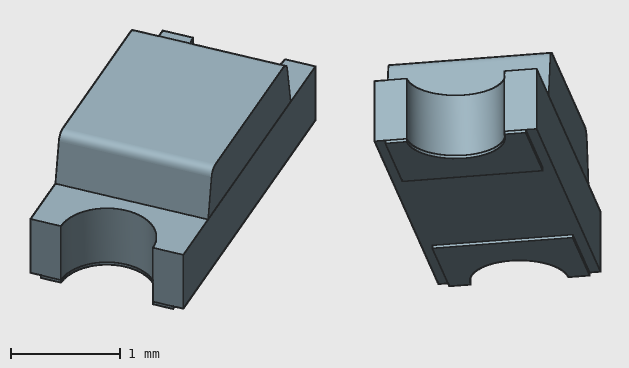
import cadquery as cq

length = 3.2
width = 1.5
board_height = 0.6
notch_radius = 0.45

pad_width = 1.3
pad_length = 0.85
pad_thickness = 0.03

lens_length = 2.0
lens_height = 0.5
lens_end_inset = 0.1
lens_edge_radius = 0.1

board_bottom = pad_thickness
board_top = board_bottom + board_height
lens_top = board_top + lens_height


def end_notches():
    """Cylinders centred on both board ends, tall enough to cut board and pads."""
    return (
        cq.Workplane("XY")
        .pushPoints([(0, -length / 2), (0, length / 2)])
        .circle(notch_radius)
        .extrude(board_top)
    )


def make_board():
    """Rectangular board with a half-round notch in each end."""
    blank = (
        cq.Workplane("XY")
        .workplane(offset=board_bottom)
        .rect(width, length)
        .extrude(board_height)
    )
    return blank.cut(end_notches())


def make_pad(end):
    """Thin pad flush with one board end; end is -1 or +1 along Y."""
    blank = (
        cq.Workplane("XY")
        .center(0, end * (length - pad_length) / 2)
        .rect(pad_width, pad_length)
        .extrude(pad_thickness)
    )
    return blank.cut(end_notches())


def make_lens():
    """Full-width trapezoid with sloped ends and rounded top end edges."""
    half_base = lens_length / 2
    half_top = half_base - lens_end_inset
    return (
        cq.Workplane("YZ")
        .polyline([
            (-half_base, board_top),
            (half_base, board_top),
            (half_top, lens_top),
            (-half_top, lens_top),
        ])
        .close()
        .extrude(width / 2, both=True)
        .edges("|X and >Z")
        .fillet(lens_edge_radius)
    )


board = make_board()
lens = make_lens()
pads = [make_pad(end) for end in (-1, 1)]

result = cq.Compound.makeCompound([board.val(), lens.val(), *[pad.val() for pad in pads]])